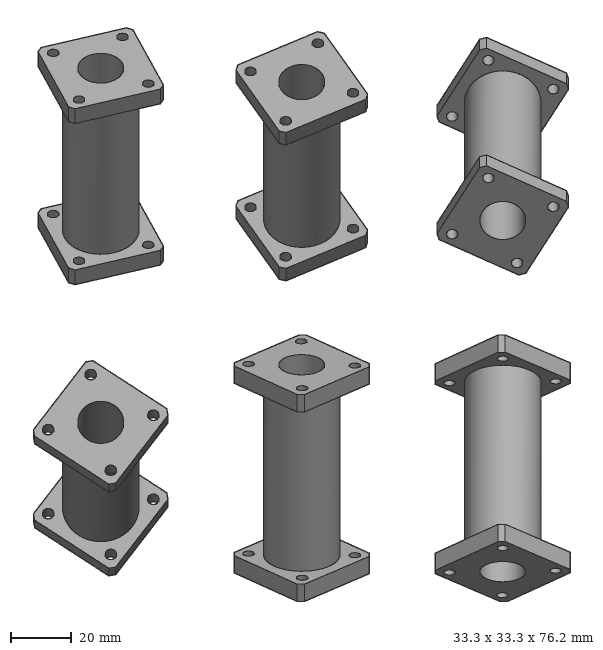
import cadquery as cq

length = 76.2
flange_side = 33.3
flange_thickness = 6.4
corner_chamfer = 1.7

tube_diameter = 25.4
bore_diameter = 15.2

bolt_diameter = 3.7
bolt_spacing_x = 25.4
bolt_spacing_y = 24.3


def make_flange(bottom_z):
    """Square plate with chamfered corners and four bolt holes."""
    plate = (
        cq.Workplane("XY", origin=(0, 0, bottom_z))
        .rect(flange_side, flange_side)
        .extrude(flange_thickness)
        .edges("|Z")
        .chamfer(corner_chamfer)
    )
    return (
        plate.faces(">Z")
        .workplane()
        .rect(bolt_spacing_x, bolt_spacing_y, forConstruction=True)
        .vertices()
        .hole(bolt_diameter)
    )


tube = (
    cq.Workplane("XY", origin=(0, 0, flange_thickness))
    .circle(tube_diameter / 2)
    .extrude(length - 2 * flange_thickness)
)
body = tube
for bottom_z in (0, length - flange_thickness):
    body = body.union(make_flange(bottom_z))

bore = cq.Workplane("XY").circle(bore_diameter / 2).extrude(length)
result = body.cut(bore)